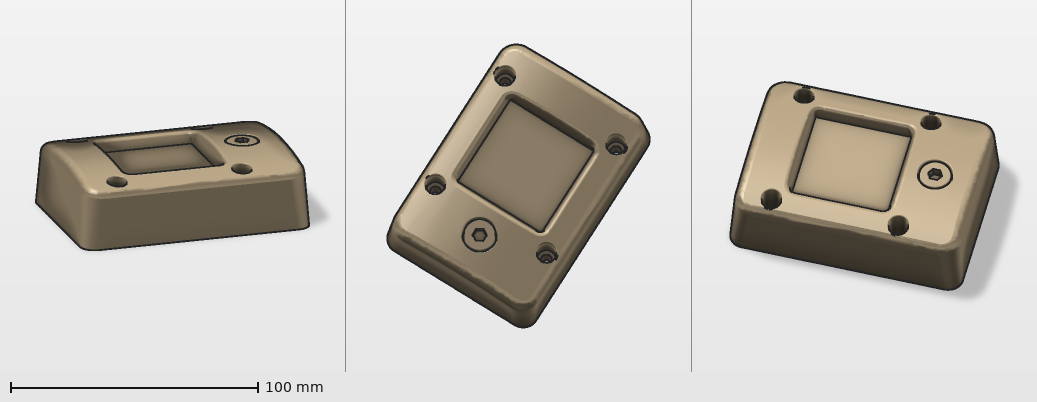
import cadquery as cq
import math

length = 97.0
width = 70.0
height = 28.5
wall_draft = 3.0
base_corner_radius = 6.2
corner_radius_growth = 0.083
crown_radius = 134.8
rim_fillet = 4.0

window_y = -5.5
window_size = 40.0
window_floor_z = 21.8
window_draft = 18.0
window_corner_radius = 0.1
window_corner_growth = 0.95
window_fillet = 2.0

module_pitch = window_size / 2
half_rows = 4
core_diameter = 3.4
ring_step = 0.73
ring_count = 9
peel_diameter = core_diameter + 2 * ring_count * ring_step
module_skin = 1.0

mount_pitch = 53.0
mount_diameter = 4.5
mount_bore_diameter = 8.0
mount_seat_z = 11.6
mount_rim_fillet = 0.6

screw_y = 29.5
screw_bore_diameter = 14.0
screw_head_diameter = 13.0
screw_bore_floor_z = 21.3
screw_head_z = 28.2
screw_rim_fillet = 0.6
screw_head_fillet = 0.5
hex_across_flats = 5.0
hex_depth = 4.0

loft_top_z = height + 1.0
mouth_min_z = window_floor_z + 1.0
mouth_clearance = 1.0


def rounded_prism(bottom, top, bottom_z, top_z):
    """Loft between two rounded rectangles, each given as (x size, y size, corner radius)."""
    low = cq.Sketch().rect(bottom[0], bottom[1]).vertices().fillet(bottom[2])
    high = cq.Sketch().rect(top[0], top[1]).vertices().fillet(top[2])
    lift = cq.Location(cq.Vector(0, 0, top_z - bottom_z))
    plane = cq.Workplane("XY").workplane(offset=bottom_z)
    return plane.placeSketch(low, high.moved(lift)).loft(ruled=True)


def cylinder(x, y, diameter, bottom_z, top_z):
    """Upright cylinder between two heights."""
    plane = cq.Workplane("XY").workplane(offset=bottom_z)
    return plane.center(x, y).circle(diameter / 2).extrude(top_z - bottom_z)


def make_housing():
    """Drafted block cut off by the crown, with a rounded upper rim."""
    inset = 2 * loft_top_z * math.tan(math.radians(wall_draft))
    top_corner_radius = base_corner_radius + loft_top_z * corner_radius_growth
    block = rounded_prism(
        (width, length, base_corner_radius),
        (width - inset, length - inset, top_corner_radius),
        0,
        loft_top_z,
    )
    crown = (
        cq.Workplane("XZ")
        .center(0, height - crown_radius)
        .circle(crown_radius)
        .extrude(length, both=True)
    )
    housing = block.intersect(crown)
    crown_face = housing.faces(cq.selectors.NearestToPointSelector((0, 0, height)))
    return crown_face.edges().fillet(rim_fillet)


def mouth_edges(body, x, y, size):
    """Edges where an opening near (x, y) meets the crown; wall edges reach deeper and are left out."""
    reach = size / 2 + mouth_clearance
    low = (x - reach, y - reach, mouth_min_z)
    high = (x + reach, y + reach, loft_top_z)
    return body.edges(cq.selectors.BoxSelector(low, high, boundingbox=True))


def cut_window(body):
    """Flared square window with a rounded mouth."""
    rise = loft_top_z - window_floor_z
    mouth_size = window_size + 2 * rise * math.tan(math.radians(window_draft))
    window = rounded_prism(
        (window_size, window_size, window_corner_radius),
        (mouth_size, mouth_size, window_corner_radius + rise * window_corner_growth),
        window_floor_z,
        loft_top_z,
    ).translate((0, window_y, 0))
    body = body.cut(window)
    return mouth_edges(body, 0, window_y, mouth_size).fillet(window_fillet)


def cut_mounting_holes(body):
    """Four deep counterbored holes with rounded mouths."""
    for side_x in (-1, 1):
        for side_y in (-1, 1):
            x = side_x * mount_pitch / 2
            y = window_y + side_y * mount_pitch / 2
            body = body.cut(cylinder(x, y, mount_bore_diameter, mount_seat_z, loft_top_z))
            body = body.cut(cylinder(x, y, mount_diameter, 0, mount_seat_z))
            body = mouth_edges(body, x, y, mount_bore_diameter).fillet(mount_rim_fillet)
    return body


def add_screw(body):
    """Hexagon socket screw standing in a round bore."""
    body = body.cut(cylinder(0, screw_y, screw_bore_diameter, screw_bore_floor_z, loft_top_z))
    body = mouth_edges(body, 0, screw_y, screw_bore_diameter).fillet(screw_rim_fillet)
    head = cylinder(0, screw_y, screw_head_diameter, screw_bore_floor_z, screw_head_z)
    head = head.faces(">Z").edges().fillet(screw_head_fillet)
    hex_corner_diameter = hex_across_flats / math.cos(math.pi / 6)
    socket = (
        cq.Workplane("XY", origin=(0, screw_y, screw_head_z - hex_depth))
        .transformed(rotate=(0, 0, 90))
        .polygon(6, hex_corner_diameter)
        .extrude(hex_depth)
    )
    return body.union(head.cut(socket))


def fill_modules(body):
    """Flush module halves, peel-off rings and cores that stay separate faces of the window floor."""
    skin_z = window_floor_z - module_skin
    skin = cq.Workplane("XY").box(window_size, window_size, module_skin, centered=(True, True, False))
    body = body.cut(skin.translate((0, window_y, skin_z)))
    centers = [
        (side_x * module_pitch / 2, window_y + side_y * module_pitch / 2)
        for side_x in (-1, 1)
        for side_y in (-1, 1)
    ]
    pieces = []

    half_size = module_pitch / 2
    for row in range(half_rows):
        front_y = window_y - window_size / 2 + row * half_size
        half = cq.Workplane("XY").box(window_size, half_size, module_skin, centered=(True, False, False))
        half = half.translate((0, front_y, skin_z))
        for x, center_y in centers:
            half = half.cut(cylinder(x, center_y, peel_diameter, skin_z, window_floor_z))
        pieces.extend(half.solids().vals())

    for x, y in centers:
        pieces.append(cylinder(x, y, core_diameter, skin_z, window_floor_z).val())
        for ring in range(ring_count):
            inner = core_diameter + 2 * ring * ring_step
            outer = inner + 2 * ring_step
            disc = cylinder(x, y, outer, skin_z, window_floor_z)
            pieces.append(disc.cut(cylinder(x, y, inner, skin_z, window_floor_z)).val())
    return cq.Workplane(body.val().fuse(*pieces))


result = make_housing()
result = cut_window(result)
result = cut_mounting_holes(result)
result = add_screw(result)
result = fill_modules(result)